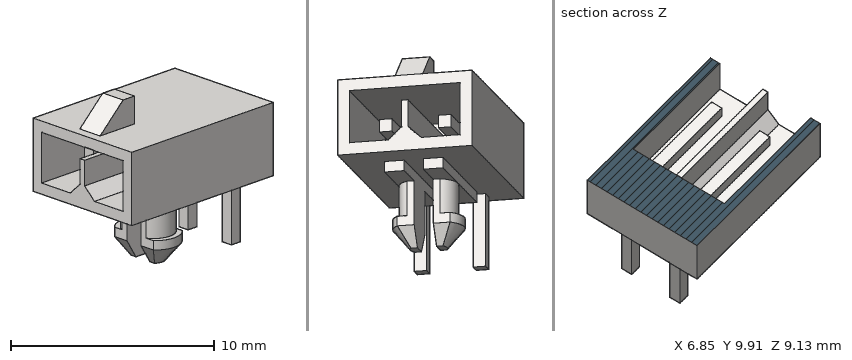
import cadquery as cq

HOUSING_WIDTH = 6.85
HOUSING_LENGTH = 9.91
HOUSING_HEIGHT = 3.855
FRONT_Y = -HOUSING_LENGTH / 2

WALL = 0.59
CAVITY_FLOOR_Z = WALL
CAVITY_DEPTH = 6.94

KEY_TOP_Z = 2.58
KEY_HALF_WIDTH = 0.16
KEY_FOOT_HALF_WIDTH = 0.84
KEY_FOOT_TOP_Z = 1.23

PIN_SIZE = 0.63
PIN_PITCH = 3.0
CONTACT_Z = HOUSING_HEIGHT / 2
CONTACT_LENGTH = 4.955
TAIL_Y = 3.94
TAIL_LENGTH = 3.72

LATCH_WIDTH = 1.41
LATCH_HEIGHT = 1.47
LATCH_BACK_Y = -2.02
LATCH_CREST_Y = -2.81
LATCH_TOE_Y = -4.42

RAIL_INNER_X = 0.49
RAIL_OUTER_X = 1.49
RAIL_LENGTH = 6.47
RAIL_HEIGHT = 0.54

PEG_Y = -0.34
PEG_HALF_WIDTH = 1.01
SHANK_EDGE_X = 0.84
SHANK_CROWN_X = RAIL_OUTER_X
LIP_EDGE_X = 1.35
LIP_CROWN_X = 1.8
TIP_HALF_WIDTH = 0.39
TIP_EDGE_X = 0.81
TIP_CROWN_X = 0.94
LIP_TOP_Z = -2.29
LIP_BOTTOM_Z = -2.78
TIP_Z = -3.8


def block(x_range, y_range, z_range):
    """Box spanning the given (low, high) range on each axis."""
    size = [high - low for low, high in (x_range, y_range, z_range)]
    corner = (x_range[0], y_range[0], z_range[0])
    return cq.Workplane("XY").box(*size, centered=False).translate(corner)


def make_housing():
    body = block(
        (-HOUSING_WIDTH / 2, HOUSING_WIDTH / 2),
        (FRONT_Y, -FRONT_Y),
        (0, HOUSING_HEIGHT),
    )
    half_width = HOUSING_WIDTH / 2 - WALL
    cavity = (
        cq.Workplane("XZ", origin=(0, FRONT_Y, 0))
        .polyline([
            (-half_width, CAVITY_FLOOR_Z),
            (-KEY_FOOT_HALF_WIDTH, CAVITY_FLOOR_Z),
            (-KEY_HALF_WIDTH, KEY_FOOT_TOP_Z),
            (-KEY_HALF_WIDTH, KEY_TOP_Z),
            (KEY_HALF_WIDTH, KEY_TOP_Z),
            (KEY_HALF_WIDTH, KEY_FOOT_TOP_Z),
            (KEY_FOOT_HALF_WIDTH, CAVITY_FLOOR_Z),
            (half_width, CAVITY_FLOOR_Z),
            (half_width, HOUSING_HEIGHT - WALL),
            (-half_width, HOUSING_HEIGHT - WALL),
        ])
        .close()
        .extrude(-CAVITY_DEPTH)
    )
    return body.cut(cavity)


def make_latch():
    top_z = HOUSING_HEIGHT + LATCH_HEIGHT
    return (
        cq.Workplane("YZ")
        .polyline([
            (LATCH_TOE_Y, HOUSING_HEIGHT),
            (LATCH_BACK_Y, HOUSING_HEIGHT),
            (LATCH_BACK_Y, top_z),
            (LATCH_CREST_Y, top_z),
        ])
        .close()
        .extrude(LATCH_WIDTH / 2, both=True)
    )


def make_contact():
    """Straight pin that stands on the rear wall of the cavity."""
    half = PIN_SIZE / 2
    x = PIN_PITCH / 2
    root_y = FRONT_Y + CAVITY_DEPTH
    return block(
        (x - half, x + half),
        (root_y - CONTACT_LENGTH, root_y),
        (CONTACT_Z - half, CONTACT_Z + half),
    )


def make_tail():
    half = PIN_SIZE / 2
    x = PIN_PITCH / 2
    return block((x - half, x + half), (TAIL_Y - half, TAIL_Y + half), (-TAIL_LENGTH, 0))


def make_rail():
    return block(
        (RAIL_INNER_X, RAIL_OUTER_X),
        (-RAIL_LENGTH / 2, RAIL_LENGTH / 2),
        (-RAIL_HEIGHT, 0),
    )


def peg_outline(plane, half_width, edge_x, crown_x):
    """Half-peg section on the plane: three straight sides and a bowed outer side."""
    return (
        plane.moveTo(RAIL_INNER_X, -half_width)
        .lineTo(edge_x, -half_width)
        .threePointArc((crown_x, 0), (edge_x, half_width))
        .lineTo(RAIL_INNER_X, half_width)
        .close()
    )


def peg_plane(z):
    return cq.Workplane("XY", origin=(0, PEG_Y, z))


def make_peg():
    lip_section = (PEG_HALF_WIDTH, LIP_EDGE_X, LIP_CROWN_X)
    shank = peg_outline(
        peg_plane(LIP_TOP_Z), PEG_HALF_WIDTH, SHANK_EDGE_X, SHANK_CROWN_X
    ).extrude(-RAIL_HEIGHT - LIP_TOP_Z)
    lip = peg_outline(peg_plane(LIP_BOTTOM_Z), *lip_section).extrude(LIP_TOP_Z - LIP_BOTTOM_Z)
    lip_base = peg_outline(peg_plane(LIP_BOTTOM_Z), *lip_section)
    tip = peg_outline(
        lip_base.workplane(offset=TIP_Z - LIP_BOTTOM_Z), TIP_HALF_WIDTH, TIP_EDGE_X, TIP_CROWN_X
    ).loft(ruled=True)
    return shank.union(lip).union(tip)


result = make_housing().union(make_latch())
for feature in (make_contact(), make_tail(), make_rail(), make_peg()):
    result = result.union(feature).union(feature.mirror("YZ"))